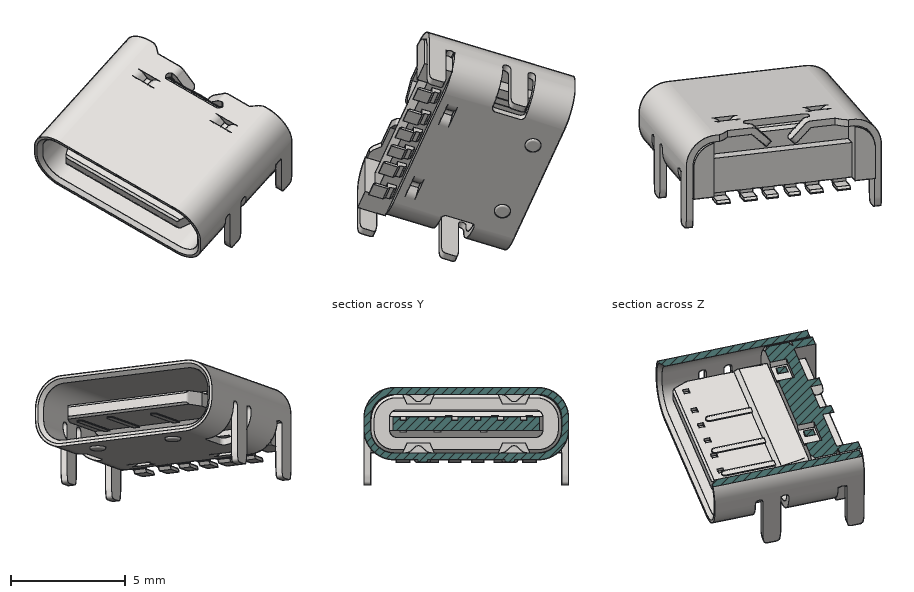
import cadquery as cq
import math


SHELL_WIDTH = 8.94
SHELL_HEIGHT = 3.16
SHELL_CORNER_RADIUS = 1.33
SHEET = 0.31
SHELL_LENGTH = 6.80
LOWER_SHELL_LENGTH = 5.61
MOUTH_CHAMFER = 0.18
HALF_WIDTH = SHELL_WIDTH / 2
HALF_HEIGHT = SHELL_HEIGHT / 2
INNER_HALF_WIDTH = HALF_WIDTH - SHEET
INNER_HALF_HEIGHT = HALF_HEIGHT - SHEET
INNER_CORNER_RADIUS = SHELL_CORNER_RADIUS - SHEET
SIDE_TANGENT_Z = HALF_HEIGHT - SHELL_CORNER_RADIUS

NOTCH_FLOOR_Y = 6.43
NOTCH_FLOOR_HALF = 2.46
NOTCH_MOUTH_HALF = 2.95
SHOULDER_DROP = 0.10
SHOULDER_WIDTH = 0.20

OVERALL_HEIGHT = 4.26
LEG_BOTTOM_Z = HALF_HEIGHT - OVERALL_HEIGHT
LEG_TAPER_HEIGHT = 0.41
LEG_TAPER = 0.06
LEG_SHOULDER_RADIUS = 0.90
LEG_TIP_RADIUS = 0.17
REAR_LEG = (6.01, SHELL_LENGTH)
FRONT_LEG = (2.19, 3.00)
LEG_WINDOW = (1.85, 3.37)
LEG_WINDOW_INNER_X = 3.00
LEG_WINDOW_RADIUS = 0.21
FRONT_SLOT_TOP_Z = -0.02
REAR_SLOT_TOP_Z = -0.19

DENT_X = 2.085
DENT_Y = 4.80
DENT_LENGTH = 0.45
DENT_HALF_WIDTH = 0.575
DENT_DEPTH = 0.31
DENT_FLARE_WIDTH = 0.295
DENT_FLARE_DROP = 0.13
DENT_TIP_HALF = 0.12
DENT_TIP_RISE = 0.03

FLAP_SLOT_HALF = 1.50
FLAP_SLOT_Y = 5.52
FLAP_Y = 5.92
FLAP_ROOT_X = 1.36
FLAP_BEND_X = 1.05
FLAP_BEND_DROP = 0.16
FLAP_TIP_X = 0.41
FLAP_TIP_RADIUS = 0.20

DOME_X = 1.90
DOME_Y = 1.00
DOME_DIAMETER = 0.70
DOME_HEIGHT = 0.105
DOME_EDGE = 0.09
PIN_HOLE_DIAMETER = 0.05
PIN_HOLE_DEPTH = 0.10

BLOCK_FRONT_Y = 4.65
BLOCK_REAR_Y = FLAP_Y
BLOCK_CHAMFER = 0.14
BLOCK_TOP_CORNER_GROWTH = 0.09
RECESS_ROOT_HALF = 0.69
RECESS_TIP_HALF = 0.50
RECESS_TIP_Z = 0.85
RECESS_REAR_Y = 5.40
LEDGE_TOP_Z = 0.35
POST_INNER_X = 3.23
POST_REAR_Y = 6.90

TONGUE_HALF_WIDTH = 3.35
TONGUE_TIP_HALF_WIDTH = 3.02
TONGUE_TIP_RADIUS = 0.15
TONGUE_FRONT_Y = 0.30
TONGUE_TAPER_LENGTH = 0.75
TONGUE_HALF_THICK = 0.305
TONGUE_EDGE_CHAMFER = 0.10
RAMP_START_Y = 3.20
RAMP_END_Y = 3.40
LOWER_RAMP_END_Y = 3.42
RAMP_TOP_Z = 0.53
ROOT_TOP_Z = 0.605
ROOT_CORNER_RADIUS = 0.34

CONTACTS = ((0.505, 0.53), (1.51, 0.60), (2.755, 0.60))
CONTACT_BOTTOM_Z = -1.685
CONTACT_THICK = 0.15
CONTACT_STEM_Y = 5.72
CONTACT_STEM_REAR_Y = 6.02
CONTACT_STEM_TOP_Z = -0.90
CONTACT_STEM_BEND = 0.12
CONTACT_TIP_Y = SHELL_LENGTH
CONTACT_TIP_CHAMFER = 0.10
TONGUE_POCKETS_X = (-2.75, -1.50, -0.50, 0.50, 1.50, 2.50)
TONGUE_POCKET_Y = 0.86
TONGUE_POCKET_SIZE = 0.26
TONGUE_POCKET_DEPTH = 0.15
PADS = ((-0.765, 1.15), (1.25, 0.82), (2.75, 0.82))
PAD_WIDTH = 0.30
PAD_PROUD = 0.05


def box(x_range, y_range, z_range):
    """Box between the given limits along each axis."""
    spans = [b - a for a, b in (x_range, y_range, z_range)]
    return cq.Workplane("XY").box(*spans, centered=False).translate((x_range[0], y_range[0], z_range[0]))


def both_sides(body):
    """Body together with its mirror image in X."""
    return body.union(body.mirror("YZ"))


def rounded_bar(half_width, half_height, radius, y_front, y_rear):
    """Rounded rectangle extruded along Y."""
    length = y_rear - y_front
    bar = cq.Workplane("XZ", origin=(0, y_front, 0)).rect(2 * half_width, 2 * half_height).extrude(-length)
    return bar.edges("|Y").fillet(radius)


def make_tube():
    """Rounded tube with a chamfered mouth."""
    outer = rounded_bar(HALF_WIDTH, HALF_HEIGHT, SHELL_CORNER_RADIUS, 0, SHELL_LENGTH)
    bore = rounded_bar(INNER_HALF_WIDTH, INNER_HALF_HEIGHT, INNER_CORNER_RADIUS, 0, SHELL_LENGTH)
    tube = outer.cut(bore)
    return tube.cut(make_mouth_flare())


def make_mouth_flare():
    """Cutter for the 45 degree chamfer inside the mouth."""
    return (
        cq.Workplane("XZ")
        .sketch()
        .rect(2 * (INNER_HALF_WIDTH + MOUTH_CHAMFER), 2 * (INNER_HALF_HEIGHT + MOUTH_CHAMFER))
        .vertices()
        .fillet(INNER_CORNER_RADIUS + MOUTH_CHAMFER)
        .finalize()
        .extrude(-MOUTH_CHAMFER, taper=45)
    )


def make_rear_notch():
    """Cutter for the rear notch of the top wall, sloping in two steps at each end."""
    slope_y = SHELL_LENGTH - SHOULDER_DROP
    shoulder_x = NOTCH_MOUTH_HALF - SHOULDER_WIDTH
    return (
        cq.Workplane("XY")
        .moveTo(-NOTCH_FLOOR_HALF, NOTCH_FLOOR_Y)
        .lineTo(NOTCH_FLOOR_HALF, NOTCH_FLOOR_Y)
        .lineTo(shoulder_x, slope_y)
        .lineTo(NOTCH_MOUTH_HALF, SHELL_LENGTH)
        .lineTo(-NOTCH_MOUTH_HALF, SHELL_LENGTH)
        .lineTo(-shoulder_x, slope_y)
        .close()
        .extrude(HALF_HEIGHT)
    )


def make_flap_opening():
    """Cutter that frees the flaps: a rounded cross slot open to the rear."""
    slot_width = FLAP_Y - FLAP_SLOT_Y
    slot = (
        cq.Workplane("XY")
        .center(0, FLAP_SLOT_Y + slot_width / 2)
        .slot2D(2 * FLAP_SLOT_HALF, slot_width)
        .extrude(HALF_HEIGHT)
    )
    gap = box((-FLAP_ROOT_X, FLAP_ROOT_X), (FLAP_Y - slot_width / 2, NOTCH_FLOOR_Y), (0, HALF_HEIGHT))
    return slot.union(gap)


def make_flap():
    """Flap on +X, bent down at 45 degrees towards the middle."""
    bend_z = HALF_HEIGHT - FLAP_BEND_DROP
    tip_z = bend_z - (FLAP_BEND_X - FLAP_TIP_X)
    offset = SHEET / math.sqrt(2)
    flap = (
        cq.Workplane("XZ", origin=(0, FLAP_Y, 0))
        .moveTo(FLAP_ROOT_X + SHEET, HALF_HEIGHT)
        .lineTo(FLAP_ROOT_X, HALF_HEIGHT)
        .tangentArcPoint((FLAP_BEND_X, bend_z), relative=False)
        .lineTo(FLAP_TIP_X, tip_z)
        .lineTo(FLAP_TIP_X + offset, tip_z - offset)
        .lineTo(FLAP_ROOT_X, INNER_HALF_HEIGHT)
        .lineTo(FLAP_ROOT_X + SHEET, INNER_HALF_HEIGHT)
        .close()
        .extrude(FLAP_Y - NOTCH_FLOOR_Y)
    )
    tip_edges = cq.selectors.BoxSelector(
        (0, FLAP_Y - SHEET, 0), (FLAP_TIP_X + offset, NOTCH_FLOOR_Y + SHEET, HALF_HEIGHT))
    return flap.edges(tip_edges).edges("not(|Y)").fillet(FLAP_TIP_RADIUS)


def make_leg(y_range):
    """Flat leg on +X, tapered and rounded at its tip."""
    y_a, y_b = y_range
    taper_z = LEG_BOTTOM_Z + LEG_TAPER_HEIGHT
    leg = (
        cq.Workplane("YZ", origin=(INNER_HALF_WIDTH, 0, 0))
        .moveTo(y_a, 0)
        .lineTo(y_a, taper_z)
        .lineTo(y_a + LEG_TAPER, LEG_BOTTOM_Z)
        .lineTo(y_b - LEG_TAPER, LEG_BOTTOM_Z)
        .lineTo(y_b, taper_z)
        .lineTo(y_b, 0)
        .close()
        .extrude(SHEET)
    )
    shoulder = cq.selectors.BoxSelector(
        (0, y_a - SHEET, taper_z - LEG_TAPER), (HALF_WIDTH + SHEET, y_b + SHEET, taper_z + LEG_TAPER))
    leg = leg.edges(shoulder).edges("|X").fillet(LEG_SHOULDER_RADIUS)
    return leg.faces("<Z").edges("|X").fillet(LEG_TIP_RADIUS)


def make_slot(y_range, top_z):
    """Cutter on +X for a round-topped gap beside a leg."""
    y_a, y_b = y_range
    radius = (y_b - y_a) / 2
    return (
        cq.Workplane("YZ", origin=(INNER_HALF_WIDTH - SHEET, 0, 0))
        .moveTo(y_a, LEG_BOTTOM_Z)
        .lineTo(y_a, top_z - radius)
        .threePointArc(((y_a + y_b) / 2, top_z), (y_b, top_z - radius))
        .lineTo(y_b, LEG_BOTTOM_Z)
        .close()
        .extrude(HALF_WIDTH)
    )


def make_dent(level_z):
    """Bell-shaped bar that hangs from the given level, for one face of a dent."""
    flare_radius = (DENT_FLARE_WIDTH ** 2 + DENT_FLARE_DROP ** 2) / (2 * DENT_FLARE_DROP)
    half_turn = math.atan2(DENT_FLARE_DROP, DENT_FLARE_WIDTH)
    middle_x = DENT_HALF_WIDTH - flare_radius * math.sin(half_turn)
    middle_z = -flare_radius * (1 - math.cos(half_turn))
    end_x = DENT_HALF_WIDTH - DENT_FLARE_WIDTH
    tip_edge_z = DENT_TIP_RISE - DENT_DEPTH
    return (
        cq.Workplane("XZ", origin=(DENT_X, DENT_Y, level_z))
        .moveTo(-DENT_HALF_WIDTH, 0)
        .threePointArc((-middle_x, middle_z), (-end_x, -DENT_FLARE_DROP))
        .lineTo(-DENT_TIP_HALF, tip_edge_z)
        .threePointArc((0, -DENT_DEPTH), (DENT_TIP_HALF, tip_edge_z))
        .lineTo(end_x, -DENT_FLARE_DROP)
        .threePointArc((middle_x, middle_z), (DENT_HALF_WIDTH, 0))
        .close()
        .extrude(-DENT_LENGTH)
    )


def top_and_bottom(body):
    """Body on +X top repeated at all four mirrored places."""
    pair = both_sides(body)
    return pair.union(pair.mirror("XY"))


def make_dome():
    """Low round dome under the bottom wall at +X."""
    dome = (
        cq.Workplane("XY", origin=(DOME_X, DOME_Y, -HALF_HEIGHT))
        .circle(DOME_DIAMETER / 2)
        .extrude(-DOME_HEIGHT)
    )
    return dome.faces("<Z").edges().fillet(DOME_EDGE)


def make_pin_hole():
    """Cutter for the tiny blind hole in the floor above a dome."""
    return (
        cq.Workplane("XY", origin=(DOME_X, DOME_Y, -INNER_HALF_HEIGHT))
        .circle(PIN_HOLE_DIAMETER / 2)
        .extrude(-PIN_HOLE_DEPTH)
    )


def make_shell():
    """Sheet metal shell with its legs, dents, flaps and domes."""
    shell = make_tube()
    shell = shell.cut(make_rear_notch())
    shell = shell.cut(make_flap_opening())

    lower_z = (-HALF_HEIGHT, -SIDE_TANGENT_Z)
    shell = shell.cut(box((-HALF_WIDTH, HALF_WIDTH), (LOWER_SHELL_LENGTH, SHELL_LENGTH), lower_z))
    window = box((LEG_WINDOW_INNER_X, HALF_WIDTH), LEG_WINDOW, lower_z)
    window = window.edges("|Z and <X").fillet(LEG_WINDOW_RADIUS)
    shell = shell.cut(both_sides(window))

    for leg in (REAR_LEG, FRONT_LEG):
        shell = shell.union(both_sides(make_leg(leg)))
    slots = (
        ((LEG_WINDOW[0], FRONT_LEG[0]), FRONT_SLOT_TOP_Z),
        ((FRONT_LEG[1], LEG_WINDOW[1]), FRONT_SLOT_TOP_Z),
        ((LOWER_SHELL_LENGTH, REAR_LEG[0]), REAR_SLOT_TOP_Z),
    )
    for y_range, top_z in slots:
        shell = shell.cut(both_sides(make_slot(y_range, top_z)))

    shell = shell.union(top_and_bottom(make_dent(INNER_HALF_HEIGHT)))
    shell = shell.cut(top_and_bottom(make_dent(HALF_HEIGHT)))
    shell = shell.union(both_sides(make_flap()))
    return shell.union(both_sides(make_dome())).cut(both_sides(make_pin_hole()))


def insulator_bar(y_front, y_rear):
    """Bar that fills the shell bore, with rounded, looser top corners and square bottom corners."""
    bar = (
        cq.Workplane("XZ", origin=(0, y_front, 0))
        .rect(2 * INNER_HALF_WIDTH, 2 * INNER_HALF_HEIGHT)
        .extrude(y_front - y_rear)
    )
    return bar.edges("|Y and >Z").fillet(INNER_CORNER_RADIUS + BLOCK_TOP_CORNER_GROWTH)


def make_recess():
    """Cutter for the trapezoid recess that clears the dent in the top wall at +X."""
    return (
        cq.Workplane("XZ", origin=(DENT_X, BLOCK_FRONT_Y, 0))
        .moveTo(-RECESS_ROOT_HALF, INNER_HALF_HEIGHT)
        .lineTo(-RECESS_TIP_HALF, RECESS_TIP_Z)
        .lineTo(RECESS_TIP_HALF, RECESS_TIP_Z)
        .lineTo(RECESS_ROOT_HALF, INNER_HALF_HEIGHT)
        .close()
        .extrude(BLOCK_FRONT_Y - RECESS_REAR_Y)
    )


def make_insulator():
    """Block inside the shell, low ledge behind it, and two posts at the rear corners."""
    block = insulator_bar(BLOCK_FRONT_Y, BLOCK_REAR_Y)
    block = block.edges("|Y and <Z").fillet(INNER_CORNER_RADIUS)
    block = block.faces("<Y or >Y").edges().chamfer(BLOCK_CHAMFER)
    block = block.cut(top_and_bottom(make_recess()))

    rear = insulator_bar(LOWER_SHELL_LENGTH, POST_REAR_Y)
    full_z = (-HALF_HEIGHT, HALF_HEIGHT)
    ledge = rear.intersect(
        box((-HALF_WIDTH, HALF_WIDTH), (LOWER_SHELL_LENGTH, NOTCH_FLOOR_Y), (-HALF_HEIGHT, LEDGE_TOP_Z)))
    posts = rear.intersect(both_sides(box((POST_INNER_X, HALF_WIDTH), (BLOCK_REAR_Y, POST_REAR_Y), full_z)))
    return block.union(ledge).union(posts)


def make_tongue():
    """Tongue formed by its side profile, plan outline and cross section."""
    edge_y = TONGUE_FRONT_Y + TONGUE_EDGE_CHAMFER
    edge_z = TONGUE_HALF_THICK - TONGUE_EDGE_CHAMFER
    root_end_y = BLOCK_REAR_Y - BLOCK_CHAMFER
    outline = [
        (TONGUE_FRONT_Y, edge_z),
        (edge_y, TONGUE_HALF_THICK),
        (RAMP_START_Y, TONGUE_HALF_THICK),
        (RAMP_END_Y, RAMP_TOP_Z),
        (BLOCK_FRONT_Y, ROOT_TOP_Z),
        (root_end_y, ROOT_TOP_Z),
        (root_end_y, -ROOT_TOP_Z),
        (LOWER_RAMP_END_Y, -ROOT_TOP_Z),
        (RAMP_START_Y, -TONGUE_HALF_THICK),
        (edge_y, -TONGUE_HALF_THICK),
        (TONGUE_FRONT_Y, -edge_z),
    ]
    profile = (
        cq.Workplane("YZ", origin=(-TONGUE_HALF_WIDTH, 0, 0))
        .polyline(outline)
        .close()
        .extrude(2 * TONGUE_HALF_WIDTH)
    )

    taper_end_y = TONGUE_FRONT_Y + TONGUE_TAPER_LENGTH
    plan = (
        cq.Workplane("XY", origin=(0, 0, -HALF_HEIGHT))
        .moveTo(-TONGUE_TIP_HALF_WIDTH, TONGUE_FRONT_Y)
        .lineTo(TONGUE_TIP_HALF_WIDTH, TONGUE_FRONT_Y)
        .lineTo(TONGUE_HALF_WIDTH, taper_end_y)
        .lineTo(TONGUE_HALF_WIDTH, BLOCK_REAR_Y)
        .lineTo(-TONGUE_HALF_WIDTH, BLOCK_REAR_Y)
        .lineTo(-TONGUE_HALF_WIDTH, taper_end_y)
        .close()
        .extrude(SHELL_HEIGHT)
        .edges("|Z and <Y")
        .fillet(TONGUE_TIP_RADIUS)
    )

    section = (
        cq.Workplane("XZ")
        .rect(2 * TONGUE_HALF_WIDTH, 2 * ROOT_TOP_Z)
        .extrude(-BLOCK_REAR_Y)
        .edges("|Y")
        .fillet(ROOT_CORNER_RADIUS)
    )
    return profile.intersect(plan).intersect(section)


def make_tongue_pockets():
    """Cutters for the small square pockets in the upper tongue face."""
    return (
        cq.Workplane("XY", origin=(0, TONGUE_POCKET_Y, TONGUE_HALF_THICK))
        .pushPoints([(x, 0) for x in TONGUE_POCKETS_X])
        .rect(TONGUE_POCKET_SIZE, TONGUE_POCKET_SIZE)
        .extrude(-TONGUE_POCKET_DEPTH)
    )


def make_pad(x, front_y):
    """Contact pad standing proud of the upper tongue face, round at the front."""
    radius = PAD_WIDTH / 2
    pad_end_y = RAMP_END_Y
    return (
        cq.Workplane("XY", origin=(x, 0, 0))
        .moveTo(-radius, pad_end_y)
        .lineTo(-radius, front_y + radius)
        .threePointArc((0, front_y), (radius, front_y + radius))
        .lineTo(radius, pad_end_y)
        .close()
        .extrude(TONGUE_HALF_THICK + PAD_PROUD)
    )


def make_contact(x, width):
    """Solder tail: a short stem under the insulator and a flat foot to the rear."""
    foot_top_z = CONTACT_BOTTOM_Z + CONTACT_THICK
    heel_y = CONTACT_STEM_REAR_Y + CONTACT_STEM_BEND
    return (
        cq.Workplane("YZ", origin=(x - width / 2, 0, 0))
        .moveTo(CONTACT_STEM_Y, CONTACT_STEM_TOP_Z)
        .lineTo(CONTACT_STEM_Y, foot_top_z + CONTACT_STEM_BEND)
        .lineTo(CONTACT_STEM_Y + CONTACT_STEM_BEND, foot_top_z)
        .lineTo(CONTACT_STEM_REAR_Y, foot_top_z)
        .lineTo(heel_y, CONTACT_BOTTOM_Z)
        .lineTo(CONTACT_TIP_Y, CONTACT_BOTTOM_Z)
        .lineTo(CONTACT_TIP_Y, foot_top_z - CONTACT_TIP_CHAMFER)
        .lineTo(CONTACT_TIP_Y - CONTACT_TIP_CHAMFER, foot_top_z)
        .lineTo(heel_y, foot_top_z)
        .lineTo(heel_y, CONTACT_STEM_TOP_Z)
        .close()
        .extrude(width)
    )


def make_padded_tongue():
    """Tongue with its contact pads and pockets."""
    tongue = make_tongue()
    for x, front_y in PADS:
        pad = make_pad(x, front_y)
        tongue = tongue.union(pad).union(pad.rotate((0, 0, 0), (0, 1, 0), 180))
    return tongue.cut(make_tongue_pockets())


result = make_shell().union(make_insulator()).union(make_padded_tongue())
for contact_x, contact_width in CONTACTS:
    result = result.union(both_sides(make_contact(contact_x, contact_width)))